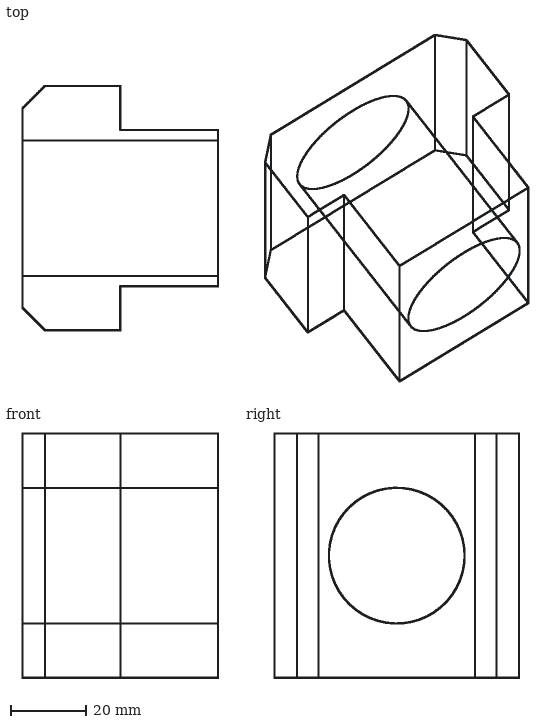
import cadquery as cq

length_x = 52.0
head_width = 65.0
height = 65.0
head_thickness = 26.0
stem_width = 41.6
head_chamfer = 6.0
bore_diameter = 36.0

stem_length = length_x - head_thickness


def make_head():
    """Wide block whose two vertical front edges are chamfered."""
    head = cq.Workplane("XY").box(head_thickness, head_width, height, centered=(False, True, True))
    return head.edges("|Z and <X").chamfer(head_chamfer)


def make_stem():
    """Narrower block centred on the back face of the head."""
    stem = cq.Workplane("XY").box(stem_length, stem_width, height, centered=(False, True, True))
    return stem.translate((head_thickness, 0, 0))


def make_bore():
    """Cylinder along X that cuts through the head and the stem."""
    return cq.Workplane("YZ").circle(bore_diameter / 2).extrude(length_x)


result = make_head().union(make_stem()).cut(make_bore())